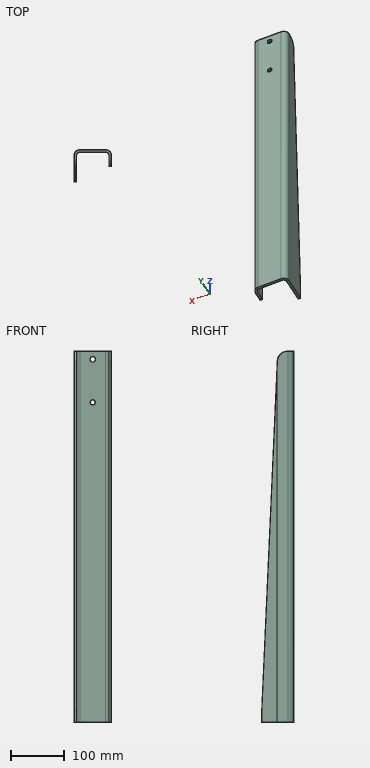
import cadquery as cq

length = 692.0
width = 70.0
deep_flange = 60.0
shallow_flange = 31.0
thickness = 5.0
bend_radius = 11.0
corner_radius = 19.5
foot_height = 21.0
upper_hole_diameter = 10.0
lower_hole_diameter = 9.0
upper_hole_drop = 15.0
hole_spacing = 80.0

back = deep_flange / 2
deep_edge = back - deep_flange
shallow_edge = back - shallow_flange


def folded_channel():
    """Full-depth channel of constant section, open toward -Y."""
    outer = cq.Workplane("XY").box(width, deep_flange, length, centered=(True, True, False))
    outer = outer.edges("|Z and >Y").fillet(bend_radius)
    inner = (
        cq.Workplane("XY")
        .box(width - 2 * thickness, deep_flange, length, centered=(True, True, False))
        .translate((0, -thickness, 0))
        .edges("|Z and >Y")
        .fillet(bend_radius - thickness)
    )
    return outer.cut(inner)


def side_envelope(start_x, foot_edge):
    """Half-width block with the side outline of one flange."""
    outline = cq.Workplane("YZ", origin=(start_x, 0, 0)).moveTo(back, 0).lineTo(foot_edge, 0)
    if foot_edge != shallow_edge:
        outline = outline.lineTo(foot_edge, foot_height)
    return (
        outline.lineTo(shallow_edge, length - corner_radius)
        .radiusArc((shallow_edge + corner_radius, length), corner_radius)
        .lineTo(back, length)
        .close()
        .extrude(width / 2)
    )


def web_hole(diameter, height):
    """Cutter for a round hole through the web on its centreline."""
    return (
        cq.Workplane("XZ", origin=(0, back, height))
        .circle(diameter / 2)
        .extrude(2 * thickness)
    )


flange_outlines = side_envelope(-width / 2, deep_edge).union(side_envelope(0, shallow_edge))
result = folded_channel().intersect(flange_outlines)

upper_hole_height = length - upper_hole_drop
result = result.cut(web_hole(upper_hole_diameter, upper_hole_height))
result = result.cut(web_hole(lower_hole_diameter, upper_hole_height - hole_spacing))
result = result.clean()